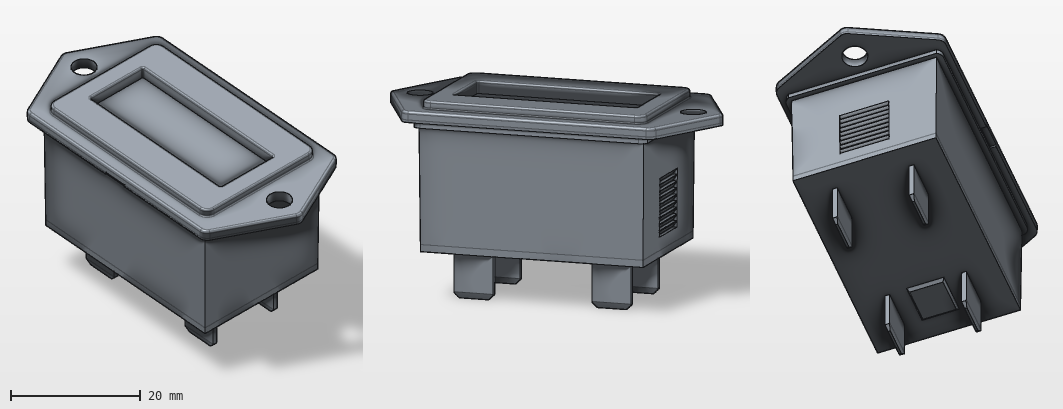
import cadquery as cq
import math


zone_margin = 0.05

flange_length = 54.0
flange_width = 27.9
flange_straight_half = 20.3
flange_corner_radius = 1.45
flange_top = 1.8
flange_parting_height = 0.45
flange_edge_radius = 0.45
mount_hole_diameter = 4.0
mount_hole_x = 22.25

frame_length = 36.3
frame_width = 22.95
frame_top = 3.1
frame_corner_radius = 1.5
frame_edge_radius = 0.3
frame_base_radius = 0.2
window_length = 29.7
window_width = 11.0
window_corner_radius = 0.25
window_depth = 2.0
window_edge_radius = 0.3

notch_width = 4.15

lip_length = 38.05
lip_width = 25.9
lip_depth = 0.95
lip_corner_radius = 1.4
lip_corner_run = 1.25
lip_edge = 0.2
lip_edge_angle = 45.0

edge_draft = 3.0

box_top_length = 36.6
box_top_width = 23.9
base_length = 36.3
base_width = 23.6
base_top = -19.5
base_bottom = -20.6

louvre_count = 9
louvre_width = 8.1
louvre_top = -8.05
louvre_bank_height = 9.35
louvre_pitch = louvre_bank_height / louvre_count
louvre_depth = 0.85

blade_width = 6.35
blade_thickness = 0.8
blade_bottom = -28.6
blade_x = 11.25
blade_y = 6.3
blade_corner = 0.8
blade_tip_height = 0.95
blade_tip_inset = 0.2

pad_length = 6.7
pad_width = 6.15
pad_height = 0.5
pad_end_bevel = 0.5
pad_side_bevel = 0.3


def edge_zone(length, width, height):
    """Selector for the edges of a centred rectangle in the plane Z = height."""
    half_length = length / 2 + zone_margin
    half_width = width / 2 + zone_margin
    return cq.selectors.BoxSelector(
        (-half_length, -half_width, height - zone_margin),
        (half_length, half_width, height + zone_margin),
    )


def make_flange():
    """Hexagonal plate with a rounded top edge and a slightly drafted edge below the parting line."""
    half_width = flange_width / 2
    slant = math.atan((flange_length / 2 - flange_straight_half) / half_width)
    tip_x = flange_length / 2 + flange_corner_radius * (1 / math.cos(slant) - 1)
    corners = [
        (tip_x, 0),
        (flange_straight_half, half_width),
        (-flange_straight_half, half_width),
        (-tip_x, 0),
        (-flange_straight_half, -half_width),
        (flange_straight_half, -half_width),
    ]
    return (
        cq.Workplane("XY", origin=(0, 0, flange_parting_height))
        .polyline(corners)
        .close()
        .extrude(flange_top - flange_parting_height)
        .edges("|Z")
        .fillet(flange_corner_radius)
        .faces(">Z")
        .edges()
        .fillet(flange_edge_radius)
        .faces("<Z")
        .wires()
        .toPending()
        .workplane()
        .extrude(flange_parting_height, taper=edge_draft)
    )


def add_frame(flange):
    """Raised rounded frame, filleted along its top edge and where it meets the flange."""
    frame = (
        cq.Workplane("XY", origin=(0, 0, flange_top))
        .rect(frame_length, frame_width)
        .extrude(frame_top - flange_top)
        .edges("|Z")
        .fillet(frame_corner_radius)
        .faces(">Z")
        .edges()
        .fillet(frame_edge_radius)
    )
    base_zone = edge_zone(frame_length, frame_width, flange_top)
    return flange.union(frame).edges(base_zone).fillet(frame_base_radius)


def cut_window(bezel):
    """Blind window with a rounded rim."""
    window = (
        cq.Workplane("XY", origin=(0, 0, frame_top - window_depth))
        .rect(window_length, window_width)
        .extrude(window_depth)
        .edges("|Z")
        .fillet(window_corner_radius)
    )
    rim_zone = edge_zone(window_length, window_width, frame_top)
    return bezel.cut(window).edges(rim_zone).fillet(window_edge_radius)


def lip_solid():
    """Lip that widens downwards; its corner arcs are tangent to the long sides only."""
    half_length = lip_length / 2
    half_width = lip_width / 2
    arc_start_x = half_length - lip_corner_run
    corner_drop = lip_corner_radius - math.sqrt(lip_corner_radius**2 - lip_corner_run**2)
    arc_end_y = half_width - corner_drop
    return (
        cq.Workplane("XY", origin=(0, 0, -lip_depth))
        .moveTo(-arc_start_x, half_width)
        .lineTo(arc_start_x, half_width)
        .radiusArc((half_length, arc_end_y), lip_corner_radius)
        .lineTo(half_length, -arc_end_y)
        .radiusArc((arc_start_x, -half_width), lip_corner_radius)
        .lineTo(-arc_start_x, -half_width)
        .radiusArc((-half_length, -arc_end_y), lip_corner_radius)
        .lineTo(-half_length, arc_end_y)
        .radiusArc((-arc_start_x, half_width), lip_corner_radius)
        .close()
        .extrude(lip_depth + flange_parting_height - lip_edge, taper=edge_draft)
        .faces(">Z")
        .wires()
        .toPending()
        .workplane()
        .extrude(lip_edge, taper=lip_edge_angle)
    )


def pry_notch():
    """Block through the lower front edge of the flange, deep enough to reach the lip."""
    return (
        cq.Workplane("XY")
        .center(0, -flange_width / 2)
        .rect(notch_width, flange_width - lip_width)
        .extrude(flange_parting_height)
    )


def make_bezel(lip):
    """Bezel with its frame, window, screw holes, pry notch and the recess that takes the lip."""
    mount_holes = (
        cq.Workplane("XY")
        .pushPoints([(-mount_hole_x, 0), (mount_hole_x, 0)])
        .circle(mount_hole_diameter / 2)
        .extrude(flange_top)
    )
    return cut_window(add_frame(make_flange())).cut(mount_holes).cut(pry_notch()).cut(lip)


def make_box():
    """Housing box, tapering slightly from the lip down to a straight-sided base."""
    walls = (
        cq.Workplane("XY", origin=(0, 0, -lip_depth))
        .rect(box_top_length, box_top_width)
        .workplane(offset=base_top + lip_depth)
        .rect(base_length, base_width)
        .loft(ruled=True)
    )
    base = (
        cq.Workplane("XY", origin=(0, 0, base_bottom))
        .rect(base_length, base_width)
        .extrude(base_top - base_bottom)
    )
    return walls.union(base)


def louvre_slot(top):
    """Wedge whose back slopes down and inwards from the left wall at Z = top to a flat ledge."""
    outside_x = -box_top_length / 2
    return (
        cq.Workplane("XZ", origin=(0, louvre_width / 2, 0))
        .polyline([
            (outside_x, top - louvre_pitch),
            (outside_x, top),
            (outside_x + louvre_depth, top - louvre_pitch),
        ])
        .close()
        .extrude(louvre_width)
    )


def blade_terminal(x, y):
    """Flat blade with clipped corners and a tip thinned by a bevel on both faces."""
    half_width = blade_width / 2
    half_thickness = blade_thickness / 2
    tip_half_thickness = half_thickness - blade_tip_inset
    face = (
        cq.Workplane("XZ", origin=(0, half_thickness, 0))
        .polyline([
            (-half_width, base_bottom),
            (-half_width, blade_bottom + blade_corner),
            (-half_width + blade_corner, blade_bottom),
            (half_width - blade_corner, blade_bottom),
            (half_width, blade_bottom + blade_corner),
            (half_width, base_bottom),
        ])
        .close()
        .extrude(blade_thickness)
    )
    section = (
        cq.Workplane("YZ", origin=(-half_width, 0, 0))
        .polyline([
            (-half_thickness, base_bottom),
            (-half_thickness, blade_bottom + blade_tip_height),
            (-tip_half_thickness, blade_bottom),
            (tip_half_thickness, blade_bottom),
            (half_thickness, blade_bottom + blade_tip_height),
            (half_thickness, base_bottom),
        ])
        .close()
        .extrude(blade_width)
    )
    return face.intersect(section).translate((x, y, 0))


def bevelled_pad():
    """Low pad whose four sides are bevelled, the two ends more than the others."""
    return (
        cq.Workplane("XY", origin=(blade_x, 0, base_bottom))
        .rect(pad_length, pad_width)
        .workplane(offset=-pad_height)
        .rect(pad_length - 2 * pad_end_bevel, pad_width - 2 * pad_side_bevel)
        .loft(ruled=True)
    )


def make_housing(lip):
    """Box and lip in one piece, with louvres, four blade terminals and the pad."""
    housing = make_box().union(lip)
    for row in range(louvre_count):
        housing = housing.cut(louvre_slot(louvre_top - row * louvre_pitch))
    for x in (-blade_x, blade_x):
        for y in (-blade_y, blade_y):
            housing = housing.union(blade_terminal(x, y))
    return housing.union(bevelled_pad())


lip = lip_solid()
bezel = make_bezel(lip)
housing = make_housing(lip)

result = cq.Compound.makeCompound([bezel.val(), housing.val()])